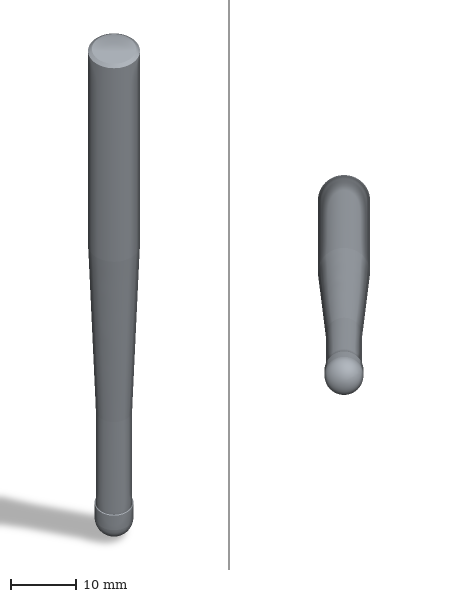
import cadquery as cq

TOTAL_LENGTH = 100.0
SHANK_BOTTOM = 59.5
TAPER_BOTTOM = 25.2
HEAD_TOP = 6.0

SHANK_DIAMETER = 8.0
NECK_DIAMETER = 5.6
HEAD_DIAMETER = 6.0

BEVEL_WIDTH = 0.6
BEVEL_HEIGHT = 0.4

SHANK_RADIUS = SHANK_DIAMETER / 2
NECK_RADIUS = NECK_DIAMETER / 2
HEAD_RADIUS = HEAD_DIAMETER / 2


def revolve_profile(profile):
    """Turn a closed half profile (radius, height) about the Z axis."""
    return profile.close().revolve(360, (0, 0, 0), (0, 1, 0))


def make_shank():
    """Straight cylindrical shank with a bevelled upper end."""
    return revolve_profile(
        cq.Workplane("XZ")
        .moveTo(0, SHANK_BOTTOM)
        .lineTo(SHANK_RADIUS, SHANK_BOTTOM)
        .lineTo(SHANK_RADIUS, TOTAL_LENGTH - BEVEL_HEIGHT)
        .lineTo(SHANK_RADIUS - BEVEL_WIDTH, TOTAL_LENGTH)
        .lineTo(0, TOTAL_LENGTH)
    )


def make_neck():
    """Straight neck that widens in a taper up to the shank."""
    return revolve_profile(
        cq.Workplane("XZ")
        .moveTo(0, HEAD_TOP)
        .lineTo(NECK_RADIUS, HEAD_TOP)
        .lineTo(NECK_RADIUS, TAPER_BOTTOM)
        .lineTo(SHANK_RADIUS, SHANK_BOTTOM)
        .lineTo(0, SHANK_BOTTOM)
    )


def make_cutting_head():
    """Short cylinder ending in a hemispherical nose."""
    return revolve_profile(
        cq.Workplane("XZ")
        .moveTo(0, 0)
        .radiusArc((HEAD_RADIUS, HEAD_RADIUS), -HEAD_RADIUS)
        .lineTo(HEAD_RADIUS, HEAD_TOP)
        .lineTo(0, HEAD_TOP)
    )


shank = make_shank()
neck = make_neck()
cutting_head = make_cutting_head()

result = cq.Compound.makeCompound([shank.val(), neck.val(), cutting_head.val()])